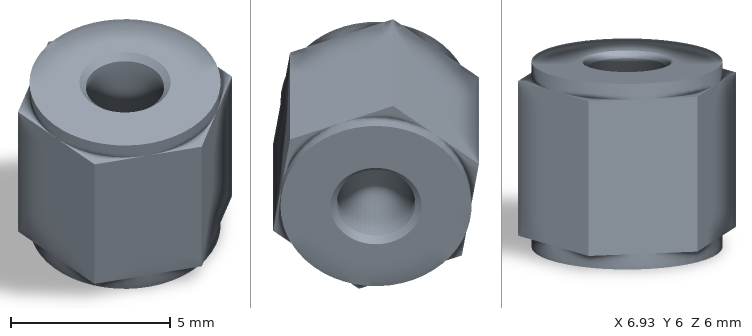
import cadquery as cq
import math

across_corners = 6.93
across_flats = across_corners * math.cos(math.pi / 6)
height = 6.0
collar_height = 0.5
bore_diameter = 2.46
bore_chamfer = 0.2

core = cq.Workplane("XY").circle(across_flats / 2).extrude(height)

hexagon = (
    cq.Workplane("XY")
    .workplane(offset=collar_height)
    .polygon(6, across_corners)
    .extrude(height - 2 * collar_height)
)

body = core.union(hexagon)
bored = body.faces(">Z").workplane(origin=(0, 0, height)).hole(bore_diameter)
bore_mouths = cq.selectors.RadiusNthSelector(0)
result = bored.faces("<Z or >Z").edges(bore_mouths).chamfer(bore_chamfer)